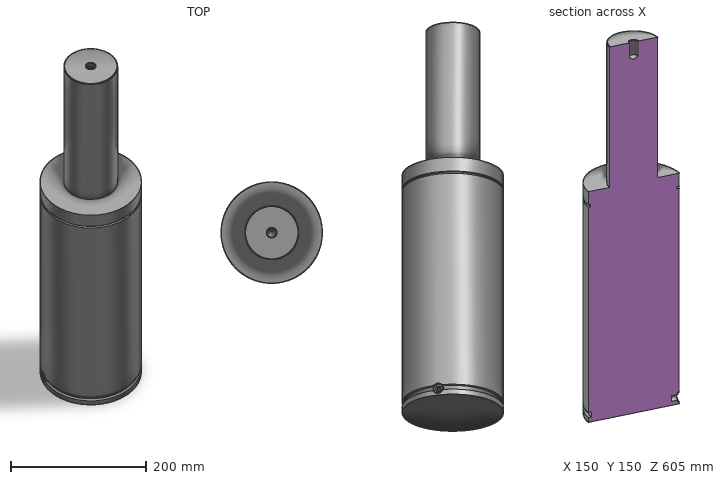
import cadquery as cq
import math

total_height = 605.0
body_diameter = 150.0
body_height = 376.5
rod_diameter = 80.0
rod_chamfer = 1.0
base_chamfer = 0.5

lower_groove = (8.5, 16.5, 5.0)
upper_groove = (351.0, 354.5, 3.5)

rod_hole_diameter = 14.0
rod_hole_mouth = 16.0
rod_hole_depth = 24.0
drill_point_angle = 118.0

port_diameter = 16.0
port_rim_diameter = 14.0
port_hole_diameter = 8.5
port_height = 11.5
port_face_inset = 1.0
port_recess_depth = 1.0
port_hole_depth = 12.0

body_radius = body_diameter / 2


def disc(diameter, bottom, top):
    """Cylinder on the Z axis between two heights."""
    return cq.Workplane("XY").workplane(offset=bottom).circle(diameter / 2).extrude(top - bottom)


def body_groove(bottom, top, depth):
    """Ring to remove from the outside of the body."""
    return disc(body_diameter + 2 * depth, bottom, top).cut(disc(body_diameter - 2 * depth, bottom, top))


def port_cylinder(diameter, outer_inset, inner_inset):
    """Cylinder along Y, located by its end distances inward from the body surface."""
    return (
        cq.Workplane("XZ", origin=(0, inner_inset - body_radius, port_height))
        .circle(diameter / 2)
        .extrude(inner_inset - outer_inset)
    )


def rod_hole():
    """Drilled hole with a chamfered mouth and a conical bottom."""
    radius = rod_hole_diameter / 2
    mouth_radius = rod_hole_mouth / 2
    mouth_depth = mouth_radius - radius
    point_depth = radius / math.tan(math.radians(drill_point_angle / 2))
    return (
        cq.Workplane("XZ")
        .moveTo(0, total_height)
        .lineTo(mouth_radius, total_height)
        .lineTo(radius, total_height - mouth_depth)
        .lineTo(radius, total_height - rod_hole_depth)
        .lineTo(0, total_height - rod_hole_depth - point_depth)
        .close()
        .revolve(360, (0, 0, 0), (0, 1, 0))
    )


body = disc(body_diameter, 0, body_height).faces("<Z").edges().chamfer(base_chamfer)
for groove in (lower_groove, upper_groove):
    body = body.cut(body_groove(*groove))

rod = disc(rod_diameter, 0, total_height).faces(">Z").edges().chamfer(rod_chamfer)
result = body.union(rod).cut(rod_hole())

plug_end = lower_groove[2] + port_face_inset
recess_floor = port_face_inset + port_recess_depth
result = result.cut(port_cylinder(port_diameter, -port_face_inset, port_face_inset))
result = result.union(port_cylinder(port_diameter, port_face_inset, plug_end))
result = result.cut(port_cylinder(port_rim_diameter, 0, recess_floor))
result = result.cut(port_cylinder(port_hole_diameter, 0, port_hole_depth))